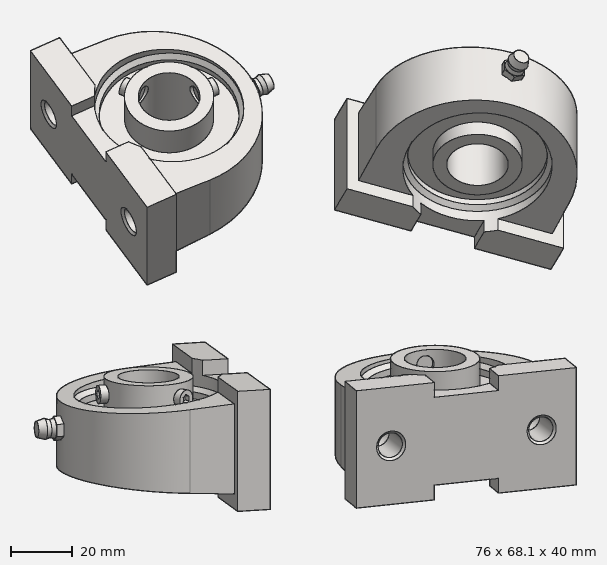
import cadquery as cq
import math


foot_length = 76.0
foot_height = 40.0
foot_thickness = 11.0
foot_bottom_y = -30.2
foot_top_y = foot_bottom_y + foot_thickness
notch_width = 22.2
notch_floor_z = 15.0

hole_spacing = 52.0
hole_diameter = 8.35
hole_mouth_diameter = 10.0
hole_depth = 13.7
drill_point_angle = 118.0

housing_radius = 34.0
arc_center_y = -4.2
crown_y = arc_center_y + housing_radius
housing_base_half_height = 15.0
housing_crown_half_height = 11.55

recess_diameter = 48.6
recess_inner_diameter = 45.45
recess_cone_height = (recess_diameter - recess_inner_diameter) / 2
recess_cone_top_z = 10.9
recess_cone_bottom_z = recess_cone_top_z - recess_cone_height
recess_floor_z = 7.1

ring_diameter = 29.0
bore_diameter = 20.0
ring_top_z = 18.25
ring_bottom_z = -12.55

screw_diameter = 6.0
screw_z = 13.2
screw_inner_radius = 10.8
screw_outer_radius = 17.0
screw_angles = (90, 210)
socket_diameter = 3.0
socket_depth = 1.9

nipple_z = 2.9
nipple_hex_flats = 7.0
nipple_hex_diameter = nipple_hex_flats / math.cos(math.radians(30))
nipple_hex_top_y = 32.1
nipple_root_y = crown_y - 1.5
nipple_base_radius = 3.35
nipple_neck_radius = 3.0
nipple_neck_y = 33.6
nipple_head_radius = 3.5
nipple_head_y = 35.2
nipple_tip_radius = 2.65
nipple_tip_y = 37.9


def cylinder(diameter, bottom_z, top_z):
    """Cylinder on the bore axis."""
    return cq.Workplane("XY").workplane(offset=bottom_z).circle(diameter / 2).extrude(top_z - bottom_z)


def make_housing():
    outline = (
        cq.Workplane("XY").workplane(offset=-foot_height / 2)
        .moveTo(-housing_radius, foot_top_y)
        .lineTo(-housing_radius, arc_center_y)
        .threePointArc((0, crown_y), (housing_radius, arc_center_y))
        .lineTo(housing_radius, foot_top_y)
        .close()
        .extrude(foot_height)
    )
    taper = (
        cq.Workplane("YZ")
        .polyline([
            (foot_top_y, -housing_base_half_height),
            (crown_y, -housing_crown_half_height),
            (crown_y, housing_crown_half_height),
            (foot_top_y, housing_base_half_height),
        ])
        .close()
        .extrude(housing_radius, both=True)
    )
    return outline.intersect(taper)


def make_foot():
    foot_center_y = foot_bottom_y + foot_thickness / 2
    foot = cq.Workplane("XY").box(foot_length, foot_thickness, foot_height).translate((0, foot_center_y, 0))
    notch_depth = foot_height / 2 - notch_floor_z
    notch = cq.Workplane("XY").box(notch_width, foot_thickness, notch_depth)
    for side in (-1, 1):
        foot = foot.cut(notch.translate((0, foot_center_y, side * (notch_floor_z + notch_depth / 2))))
    return foot


def make_mounting_hole(x):
    """Blind drilled hole with a 45 degree countersink, entering from the foot's underside."""
    radius = hole_diameter / 2
    mouth_radius = hole_mouth_diameter / 2
    shoulder_y = foot_bottom_y + mouth_radius - radius
    end_y = foot_bottom_y + hole_depth
    point_y = end_y + radius / math.tan(math.radians(drill_point_angle / 2))
    return (
        cq.Workplane("XY")
        .polyline([
            (0, foot_bottom_y),
            (mouth_radius, foot_bottom_y),
            (radius, shoulder_y),
            (radius, end_y),
            (0, point_y),
        ])
        .close()
        .revolve(360, (0, 0), (0, 1))
        .translate((x, 0, 0))
    )


def make_recess():
    """Upper recess: wide bore, 45 degree step, narrower bore down to a flat floor."""
    outer_radius = recess_diameter / 2
    inner_radius = recess_inner_diameter / 2
    return (
        cq.Workplane("XZ")
        .polyline([
            (0, recess_floor_z),
            (inner_radius, recess_floor_z),
            (inner_radius, recess_cone_bottom_z),
            (outer_radius, recess_cone_top_z),
            (outer_radius, foot_height / 2),
            (0, foot_height / 2),
        ])
        .close()
        .revolve(360, (0, 0), (0, 1))
    )


def radial_plane(angle, radius):
    """Workplane at the set screw height, facing outwards from the bore axis."""
    direction = (math.cos(math.radians(angle)), math.sin(math.radians(angle)), 0)
    origin = (radius * direction[0], radius * direction[1], screw_z)
    return cq.Workplane(cq.Plane(origin=origin, xDir=(0, 0, 1), normal=direction))


def make_set_screw(angle):
    screw = (
        radial_plane(angle, screw_inner_radius)
        .circle(screw_diameter / 2)
        .extrude(screw_outer_radius - screw_inner_radius)
    )
    socket = radial_plane(angle, screw_outer_radius).polygon(6, socket_diameter).extrude(-socket_depth)
    return screw.cut(socket)


def make_nipple():
    hexagon = (
        cq.Workplane("XZ", origin=(0, nipple_root_y, 0))
        .transformed(rotate=(0, 0, 90))
        .polygon(6, nipple_hex_diameter)
        .extrude(nipple_root_y - nipple_hex_top_y)
    )
    head = (
        cq.Workplane("XY")
        .polyline([
            (0, nipple_root_y),
            (nipple_base_radius, nipple_root_y),
            (nipple_base_radius, nipple_hex_top_y),
            (nipple_neck_radius, nipple_neck_y),
            (nipple_head_radius, nipple_head_y),
            (nipple_tip_radius, nipple_tip_y),
            (0, nipple_tip_y),
        ])
        .close()
        .revolve(360, (0, 0), (0, 1))
    )
    return hexagon.union(head).translate((0, 0, nipple_z))


body = make_housing().union(make_foot())
for hole_x in (-hole_spacing / 2, hole_spacing / 2):
    body = body.cut(make_mounting_hole(hole_x))
upper_recess = make_recess()
body = body.cut(upper_recess).cut(upper_recess.mirror("XY"))

body = body.union(cylinder(ring_diameter, ring_bottom_z, ring_top_z))
body = body.cut(cylinder(bore_diameter, ring_bottom_z, ring_top_z))

for screw_angle in screw_angles:
    screw_hole = radial_plane(screw_angle, 0).circle(screw_diameter / 2).extrude(screw_outer_radius)
    body = body.cut(screw_hole).union(make_set_screw(screw_angle))

result = body.union(make_nipple())